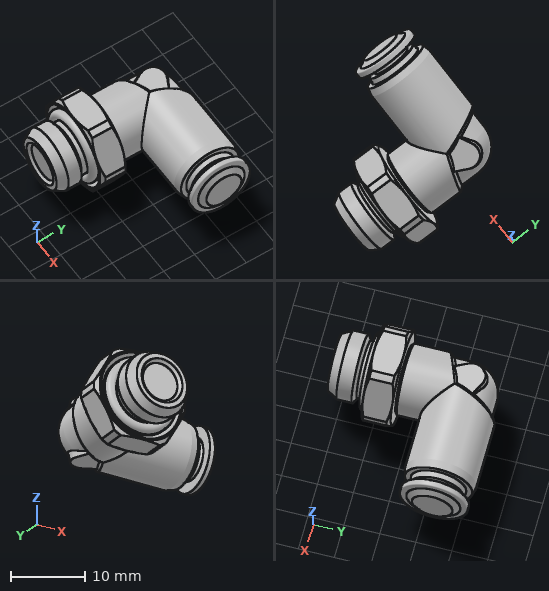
import cadquery as cq
import math


BODY_RADIUS = 5.0
ELBOW_RADIUS = 4.4
NECK_RADIUS = 4.0

SLANT_ANGLE = 20.5
SLANT_CENTRE = 1.6
BEVEL_LENGTH = 0.5
STEM_END = 8.5
STEM_CHAMFER = 0.3
ARM_STRAIGHT_END = 12.9

PAD_HALF_HEIGHT = 4.5
PAD_OFFSET = 0.7
PAD_RADIUS = 1.87
PAD_FLARE = 18.5
PAD_SIDE_LENGTH = 2.95
PAD_DRAFT = 12
PAD_DEPTH = 1.97

HEX_START = 8.65
HEX_END = 12.71
HEX_SIDES = 6
HEX_FLATS = 13.0
HEX_CORNER_RADIUS = 7.2
HEX_TURN = 1.2
HEX_CHAMFER_ANGLE = 30
STEM_GAP_RADIUS = 3.57

SEAL_RING_RADIUS = 4.77
SEAL_SECTION_RADIUS = 0.79
SEAL_CENTRE = 12.66
RECESS_RADIUS = 6.27
RECESS_DEPTH = 0.74

THREAD_RADIUS = 4.8
UNDERCUT_END = 14.07
THREAD_START = 14.55
THREAD_END = 16.67
TIP_END = 18.1
BORE_RADIUS = 3.22
BORE_DEPTH = 0.5

SLEEVE_TIP_END = 14.05
SLEEVE_TIP_RADIUS = 4.7
COLLAR_END = 14.93
COLLAR_BASE_RADIUS = 3.85
COLLAR_TIP_RADIUS = 3.66
BUTTON_NECK_RADIUS = 2.75
BUTTON_START = 15.85
BUTTON_ROOT_FILLET = 0.52
BUTTON_ROOT_RADIUS = 3.07
BUTTON_RADIUS = 4.75
BUTTON_RIM_END = 16.77
BUTTON_RIM_FILLET = 0.2
BUTTON_STEP_RADIUS = 3.75
BUTTON_TIP_RADIUS = 2.83
ARM_END = 17.39


def turned_on_stem(profile):
    """Revolve (distance, radius) points about the stem axis, out along -Y."""
    points = [(radius, -distance) for distance, radius in profile]
    return cq.Workplane("XY").polyline(points).close().revolve(360, (0, 0), (0, 1))


def slanted_section(radius, centre):
    """Elliptical section of a stem cylinder, cut by a plane tilted about Z."""
    slant = math.radians(SLANT_ANGLE)
    plane = cq.Plane(
        origin=(0, -centre, 0),
        xDir=(math.cos(slant), math.sin(slant), 0),
        normal=(-math.sin(slant), math.cos(slant), 0),
    )
    outline = cq.Workplane(plane).ellipse(radius / math.cos(slant), radius)
    return outline.wires().val()


def make_sleeve(end):
    """Stem cylinder from the slanted, bevelled end down to a square end."""
    slope = math.tan(math.radians(SLANT_ANGLE))
    reach = 2 * BODY_RADIUS
    blank = (
        cq.Workplane("XY")
        .moveTo(-reach, -SLANT_CENTRE - reach * slope)
        .lineTo(reach, -SLANT_CENTRE + reach * slope)
        .lineTo(reach, -end)
        .lineTo(-reach, -end)
        .close()
        .extrude(reach, both=True)
    )
    cylinder = cq.Workplane("XZ", origin=(0, reach, 0)).circle(BODY_RADIUS).extrude(reach + end)
    bevel = cq.Solid.makeLoft(
        [
            slanted_section(BODY_RADIUS, SLANT_CENTRE),
            slanted_section(ELBOW_RADIUS, SLANT_CENTRE - BEVEL_LENGTH),
        ],
        True,
    )
    return cylinder.intersect(blank).union(cq.Workplane(obj=bevel))


def make_elbow():
    """Ball corner with a slim cylinder reaching into each sleeve."""
    ball = cq.Workplane("XY").sphere(ELBOW_RADIUS)
    stem_side = cq.Workplane("XZ").circle(ELBOW_RADIUS).extrude(BODY_RADIUS)
    arm_side = cq.Workplane("YZ").circle(ELBOW_RADIUS).extrude(BODY_RADIUS)
    return ball.union(stem_side).union(arm_side)


def make_pad():
    """Drafted teardrop pad on the +Z side, opening towards the inner corner."""
    def on_arc(angle):
        turn = math.radians(angle)
        return (
            -PAD_OFFSET + PAD_RADIUS * math.cos(turn),
            PAD_OFFSET + PAD_RADIUS * math.sin(turn),
        )

    def side_end(start, direction):
        turn = math.radians(direction)
        return (
            start[0] + PAD_SIDE_LENGTH * math.cos(turn),
            start[1] + PAD_SIDE_LENGTH * math.sin(turn),
        )

    arm_tangent = on_arc(45 + PAD_FLARE)
    stem_tangent = on_arc(225 - PAD_FLARE)
    return (
        cq.Workplane("XY", origin=(0, 0, PAD_HALF_HEIGHT))
        .moveTo(*arm_tangent)
        .threePointArc(on_arc(135), stem_tangent)
        .lineTo(*side_end(stem_tangent, -45 - PAD_FLARE))
        .lineTo(*side_end(arm_tangent, -45 + PAD_FLARE))
        .close()
        .extrude(-PAD_DEPTH, taper=-PAD_DRAFT)
    )


def make_hexagon():
    """Hexagon with rounded corners, chamfered on both ends, with the seal recess."""
    flat_radius = HEX_FLATS / 2
    corner_diameter = HEX_FLATS / math.cos(math.pi / HEX_SIDES)
    chamfer = (HEX_CORNER_RADIUS - flat_radius) * math.tan(math.radians(HEX_CHAMFER_ANGLE))
    prism = (
        cq.Workplane("XZ", origin=(0, -HEX_START, 0))
        .polygon(HEX_SIDES, corner_diameter)
        .extrude(HEX_END - HEX_START)
        .rotate((0, 0, 0), (0, -1, 0), HEX_TURN)
    )
    envelope = turned_on_stem([
        (HEX_START, 0),
        (HEX_START, flat_radius),
        (HEX_START + chamfer, HEX_CORNER_RADIUS),
        (HEX_END - chamfer, HEX_CORNER_RADIUS),
        (HEX_END, flat_radius),
        (HEX_END, 0),
    ])
    recess = turned_on_stem([
        (HEX_END, 0),
        (HEX_END, RECESS_RADIUS),
        (HEX_END - RECESS_DEPTH, RECESS_RADIUS - RECESS_DEPTH),
        (HEX_END - RECESS_DEPTH, 0),
    ])
    return prism.intersect(envelope).cut(recess)


def make_seal():
    """O-ring seated in the hexagon recess."""
    section = cq.Workplane("XY").center(SEAL_RING_RADIUS, -SEAL_CENTRE).circle(SEAL_SECTION_RADIUS)
    return section.revolve(360, (-SEAL_RING_RADIUS, 0), (-SEAL_RING_RADIUS, 1))


def make_thread():
    """Undercut, plain thread cylinder and tapered tip with a shallow bore."""
    return turned_on_stem([
        (HEX_START, 0),
        (HEX_START, NECK_RADIUS),
        (UNDERCUT_END, NECK_RADIUS),
        (THREAD_START, THREAD_RADIUS),
        (THREAD_END, THREAD_RADIUS),
        (TIP_END, NECK_RADIUS),
        (TIP_END, BORE_RADIUS),
        (TIP_END - BORE_DEPTH, BORE_RADIUS - BORE_DEPTH),
        (TIP_END - BORE_DEPTH, 0),
    ])


def make_release_collar():
    """Tapered sleeve tip, collar and flanged release button along +X."""
    rim_corner = BUTTON_RIM_END - BUTTON_RIM_FILLET
    corner_middle = BUTTON_RIM_FILLET * (1 - math.sqrt(0.5))
    return (
        cq.Workplane("XY")
        .moveTo(ARM_STRAIGHT_END, 0)
        .lineTo(ARM_STRAIGHT_END, BODY_RADIUS)
        .lineTo(SLEEVE_TIP_END, SLEEVE_TIP_RADIUS)
        .lineTo(SLEEVE_TIP_END, COLLAR_BASE_RADIUS)
        .lineTo(COLLAR_END, COLLAR_TIP_RADIUS)
        .lineTo(COLLAR_END, BUTTON_NECK_RADIUS)
        .lineTo(BUTTON_START - BUTTON_ROOT_FILLET, BUTTON_NECK_RADIUS)
        .tangentArcPoint((BUTTON_START, BUTTON_ROOT_RADIUS), relative=False)
        .lineTo(BUTTON_START, BUTTON_RADIUS)
        .lineTo(rim_corner, BUTTON_RADIUS)
        .threePointArc(
            (BUTTON_RIM_END - corner_middle, BUTTON_RADIUS - corner_middle),
            (BUTTON_RIM_END, BUTTON_RADIUS - BUTTON_RIM_FILLET),
        )
        .lineTo(BUTTON_RIM_END, BUTTON_STEP_RADIUS)
        .lineTo(ARM_END, BUTTON_TIP_RADIUS)
        .lineTo(ARM_END, 0)
        .close()
        .revolve(360, (0, 0), (1, 0))
    )


stem_sleeve = make_sleeve(STEM_END).faces("<Y").edges().chamfer(STEM_CHAMFER)
arm_sleeve = make_sleeve(ARM_STRAIGHT_END).rotate((0, 0, 0), (1, -1, 0), 180)
stem_gap = (
    cq.Workplane("XZ", origin=(0, -STEM_END, 0))
    .circle(STEM_GAP_RADIUS)
    .extrude(HEX_START - STEM_END)
)
pad = make_pad()

result = (
    make_elbow()
    .union(pad)
    .union(pad.mirror("XY"))
    .union(stem_sleeve)
    .union(arm_sleeve)
    .union(make_release_collar())
    .union(stem_gap)
    .union(make_hexagon())
    .union(make_thread())
    .union(make_seal())
)